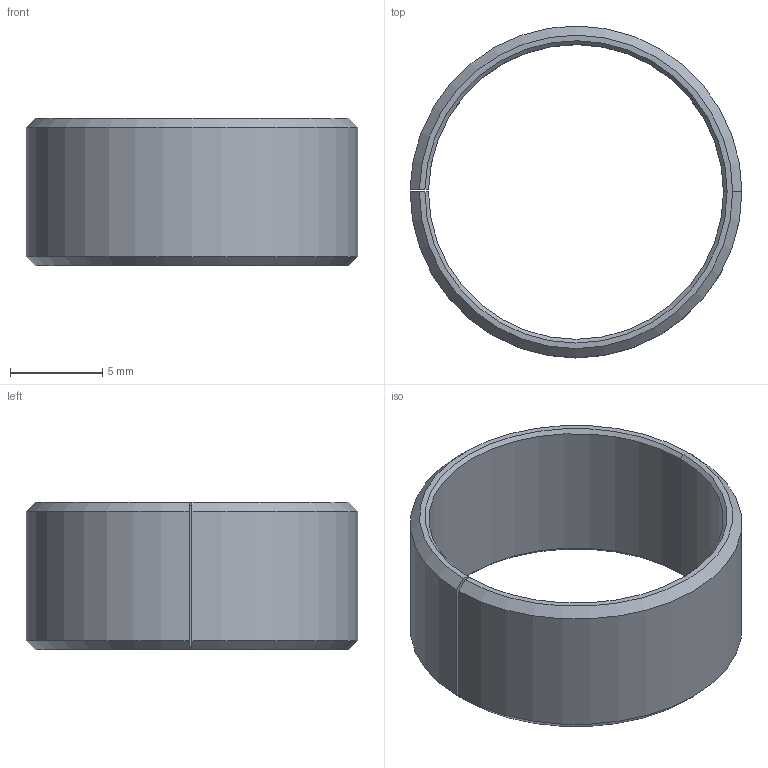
import math

import cadquery as cq

OUTER_RADIUS = 9.0
INNER_RADIUS = 8.0
HEIGHT = 8.0
OUTER_CHAMFER = 0.5
INNER_CHAMFER = 0.2
SLIT_ANGLE = 1.0


def ring():
    """Ring with its axis on Z, revolved from a wall section chamfered at all four corners."""
    top = HEIGHT / 2
    bottom = -top
    section = [
        (INNER_RADIUS, bottom + INNER_CHAMFER),
        (INNER_RADIUS + INNER_CHAMFER, bottom),
        (OUTER_RADIUS - OUTER_CHAMFER, bottom),
        (OUTER_RADIUS, bottom + OUTER_CHAMFER),
        (OUTER_RADIUS, top - OUTER_CHAMFER),
        (OUTER_RADIUS - OUTER_CHAMFER, top),
        (INNER_RADIUS + INNER_CHAMFER, top),
        (INNER_RADIUS, top - INNER_CHAMFER),
    ]
    return cq.Workplane("XZ").polyline(section).close().revolve(360, (0, 0), (0, 1))


def slit():
    """Narrow wedge that opens the wall at -X; its sides are radial and one lies in the plane Y = 0."""
    reach = 2 * OUTER_RADIUS
    spread = reach * math.tan(math.radians(SLIT_ANGLE))
    outline = [(0, 0), (-reach, 0), (-reach, spread)]
    return cq.Workplane("XY").polyline(outline).close().extrude(HEIGHT, both=True)


result = ring().cut(slit())